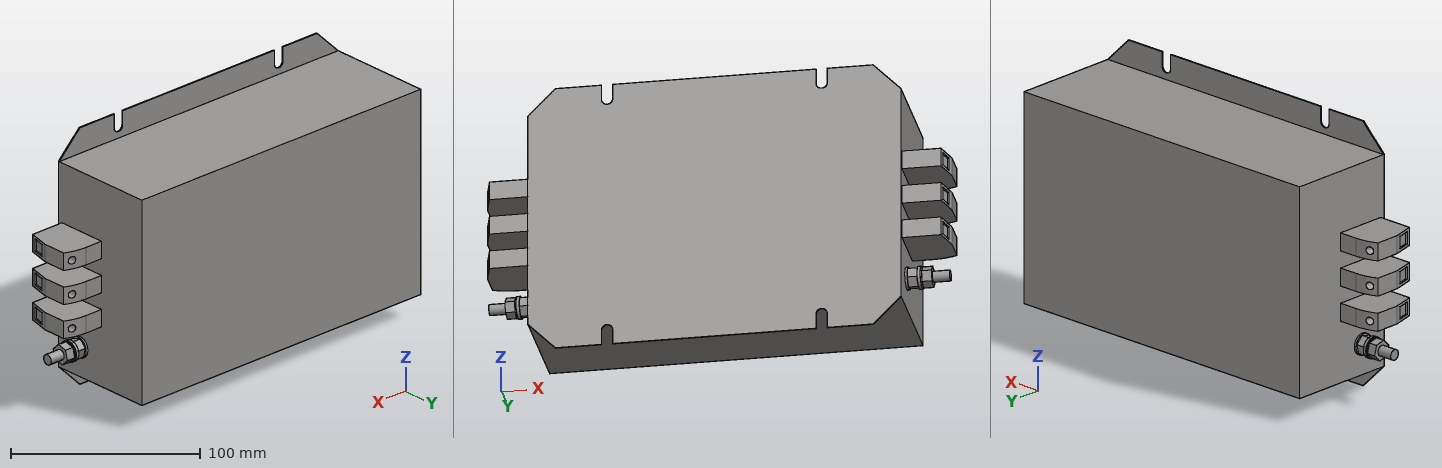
import cadquery as cq
import math

overall_length = 249.0
overall_depth = 65.0
plate_height = 150.0

body_length = 200.2
box_height = 120.0
plate_thickness = 0.7
flange_height = (plate_height - box_height) / 2
corner_chamfer = flange_height

slot_spacing = 115.0
slot_width = 6.0
slot_depth = 11.2

terminal_pitch = 20.0
terminal_height = 10.2
terminal_front = 2.7
terminal_back = 33.5
nose_front = 16.2
nose_back = 30.6
nose_setback = 3.5
crown_length = 13.2
wire_window_length = 7.7
wire_window_height = 7.0
wire_window_offset = -0.5
wire_window_depth = 1.0
screw_hole_diameter = 4.2
screw_hole_setback = 4.5
screw_hole_floor = 27.5

stud_y = 17.0
stud_z = -42.5
stud_diameter = 6.0
stud_tip = 123.5
nut_across_flats = 10.0
nut_height = 5.2
nut_twist = 15.0
washer_diameter = 12.2
base_washer_thickness = 1.2
middle_washer_thickness = 1.7
lock_washer_diameter = 11.5
lock_washer_thickness = 0.7

half_length = overall_length / 2
half_body = body_length / 2


def make_plate():
    plate = (
        cq.Workplane("XY")
        .box(body_length, plate_thickness, plate_height, centered=(True, False, True))
        .edges("|Y")
        .chamfer(corner_chamfer)
    )
    slot_centres = [
        (x_side * slot_spacing / 2, z_side * plate_height / 2)
        for x_side in (-1, 1)
        for z_side in (-1, 1)
    ]
    slots = (
        cq.Workplane("XZ")
        .pushPoints(slot_centres)
        .slot2D(2 * slot_depth, slot_width, 90)
        .extrude(-plate_thickness)
    )
    return plate.cut(slots)


def make_box():
    return cq.Workplane("XY").box(
        body_length, overall_depth, box_height, centered=(True, False, True)
    )


def make_terminal():
    """One terminal block on the +X side, centred on Z = 0."""
    crown_drop = terminal_back - nose_back
    crown_radius = (crown_length**2 + crown_drop**2) / (2 * crown_drop)
    block = (
        cq.Workplane("XY")
        .moveTo(half_body, terminal_front)
        .lineTo(half_length - nose_setback, terminal_front)
        .lineTo(half_length, nose_front)
        .lineTo(half_length, nose_back)
        .radiusArc((half_length - crown_length, terminal_back), -crown_radius)
        .lineTo(half_body, terminal_back)
        .close()
        .extrude(terminal_height / 2, both=True)
    )

    slope_length = nose_front - terminal_front
    slope_plane = cq.Plane(
        origin=(half_length - nose_setback / 2, (terminal_front + nose_front) / 2, 0),
        xDir=(nose_setback, slope_length, 0),
        normal=(slope_length, -nose_setback, 0),
    )
    wire_window = (
        cq.Workplane(slope_plane)
        .center(wire_window_offset, 0)
        .rect(wire_window_length, wire_window_height)
        .extrude(-wire_window_depth)
    )

    screw_hole = (
        cq.Workplane("XZ", origin=(half_length - screw_hole_setback, screw_hole_floor, 0))
        .circle(screw_hole_diameter / 2)
        .extrude(screw_hole_floor - terminal_back)
    )
    return block.cut(wire_window).cut(screw_hole)


def make_stud():
    """Grounding stud on the +X side, with nuts and washers stacked out from the box wall."""
    def section(start):
        return cq.Workplane("YZ", origin=(start, stud_y, stud_z))

    def nut(start, twist):
        across_corners = nut_across_flats / math.cos(math.radians(30))
        outline = section(start).transformed(rotate=(0, 0, twist))
        return outline.polygon(6, across_corners).extrude(nut_height)

    def washer(start, diameter, thickness):
        return section(start).circle(diameter / 2).extrude(thickness)

    inner_nut_start = half_body + base_washer_thickness
    middle_washer_start = inner_nut_start + nut_height
    lock_washer_start = middle_washer_start + middle_washer_thickness
    outer_nut_start = lock_washer_start + lock_washer_thickness
    return (
        section(half_body)
        .circle(stud_diameter / 2)
        .extrude(stud_tip - half_body)
        .union(washer(half_body, washer_diameter, base_washer_thickness))
        .union(nut(inner_nut_start, nut_twist))
        .union(washer(middle_washer_start, washer_diameter, middle_washer_thickness))
        .union(washer(lock_washer_start, lock_washer_diameter, lock_washer_thickness))
        .union(nut(outer_nut_start, -nut_twist))
    )


def make_connections():
    """Everything that stands out of the +X wall of the box."""
    connections = make_stud()
    terminal = make_terminal()
    for row in (-1, 0, 1):
        connections = connections.union(terminal.translate((0, 0, row * terminal_pitch)))
    return connections


right_connections = make_connections()
left_connections = right_connections.mirror("YZ")
result = make_plate().union(make_box()).union(right_connections).union(left_connections)